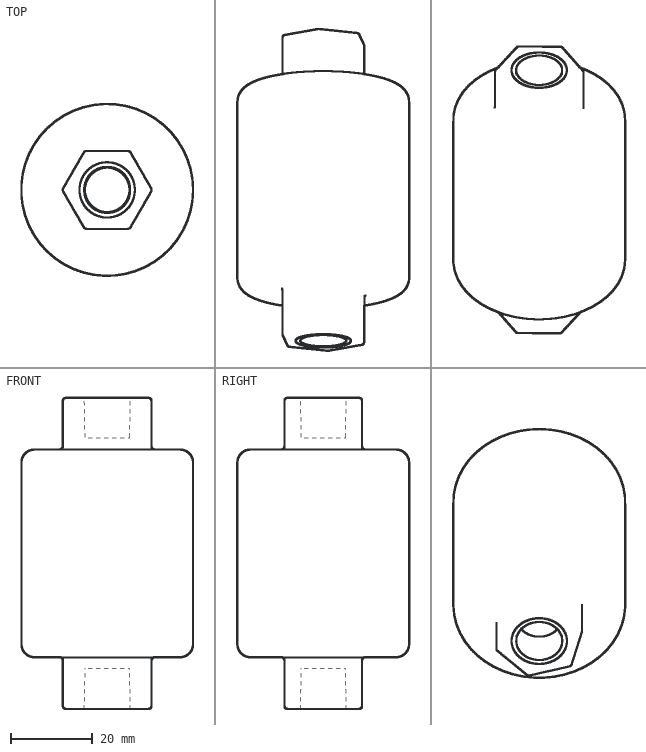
import cadquery as cq
import math

total_height = 76.2
body_diameter = 42.15
body_edge_radius = 3.3

hex_height = 12.65
hex_across_flats = 19.05
hex_edge_radius = 0.8
hex_root_radius = 0.8

seat_diameter = 13.6
seat_depth = 0.1
port_mouth_diameter = 11.3
port_floor_diameter = 10.9
port_depth = 9.9

body_height = total_height - 2 * hex_height
body_top = body_height / 2
end_top = total_height / 2


def make_body():
    """Cylindrical housing with rounded rims, centred on the origin."""
    body = cq.Workplane("XY").circle(body_diameter / 2).extrude(body_top, both=True)
    return body.edges("%CIRCLE").fillet(body_edge_radius)


def make_hexes():
    """Hexagonal bar through the housing, with rounded corners and end rims."""
    across_corners = hex_across_flats / math.cos(math.pi / 6)
    bar = cq.Workplane("XY").polygon(6, across_corners).extrude(end_top, both=True)
    return bar.edges().fillet(hex_edge_radius)


def blend_roots(part):
    """Fillet the lines where the hexagons leave the housing."""
    reach = (hex_across_flats + body_diameter) / 4
    margin = hex_root_radius / 2
    for level in (-body_top, body_top):
        near = (-reach, -reach, level - margin)
        far = (reach, reach, level + margin)
        roots = cq.selectors.BoxSelector(near, far, boundingbox=True)
        part = part.edges(roots).fillet(hex_root_radius)
    return part


def make_port():
    """Cutter for the port in the upper end."""
    profile = [
        (0, end_top),
        (seat_diameter / 2, end_top),
        (seat_diameter / 2, end_top - seat_depth),
        (port_mouth_diameter / 2, end_top - seat_depth),
        (port_floor_diameter / 2, end_top - port_depth),
        (0, end_top - port_depth),
    ]
    return cq.Workplane("XZ").polyline(profile).close().revolve(360, (0, 0), (0, 1))


upper_port = make_port()
lower_port = upper_port.mirror("XY")
result = blend_roots(make_body().union(make_hexes())).cut(upper_port).cut(lower_port)